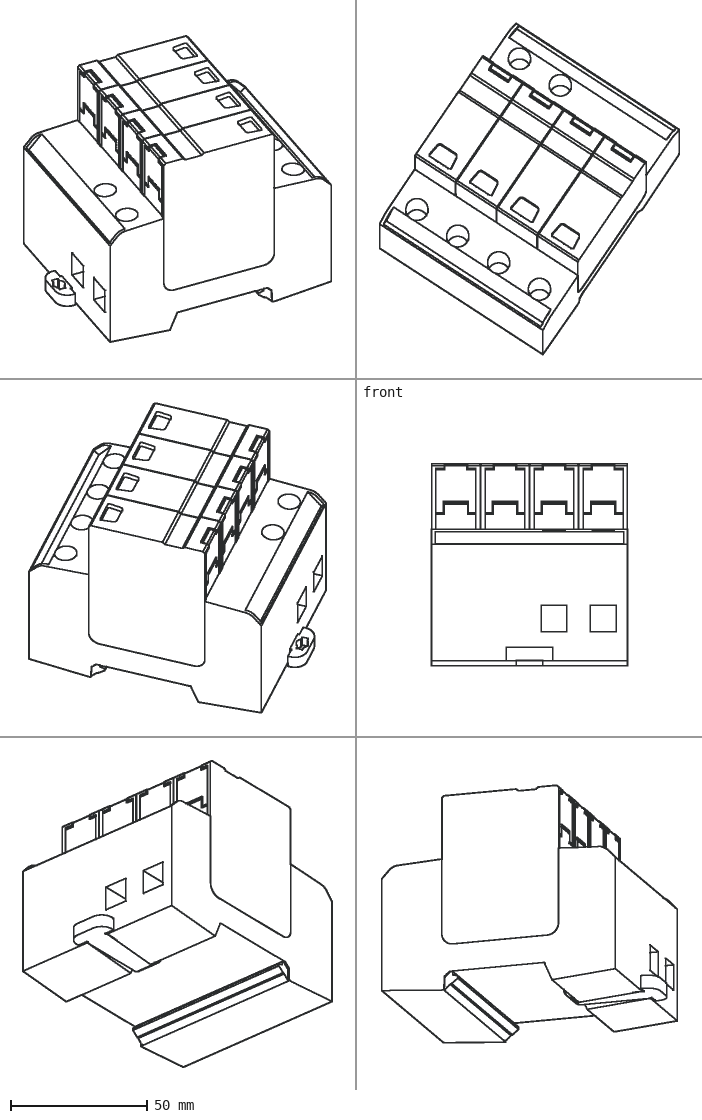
import cadquery as cq


width = 72.0
base_depth = 90.5
height = 74.3
poles = 4
pitch = width / poles
pole_centres = [(i - (poles - 1) / 2) * pitch for i in range(poles)]
output_centres = pole_centres[2:]

shoulder_height = 50.1
bevel_bottom = 44.6
bevel_run = 4.3
bevel_top = 49.2
bevel_round = 4.8
outer_bottom = 1.9
channel_top = 6.9
front_foot_back = 24.5
channel_front = 27.5
channel_back = 64.1
channel_bend = (66.1, 5.1)
back_foot_front = 66.4
back_foot_back = 67.3

module_front = 22.0
module_back = 67.2
module_bottom = 17.3
module_round = 4.4
side_clearance = 0.1
edge_bevel = 0.8
dip_depth = 0.8
dip_front = 29.9
dip_back = 38.5
dip_slope = 1.0
seam_width = 0.3
seam_depth = 1.0

panel_width = 14.6
panel_inset = 0.2
recess_depth = 0.6
panel_gap = 0.5
panel_shoulder = 72.5
tab_width = 8.0
tab_side_gap = 0.3
tab_back = 24.6
tab_back_gap = 0.7
lower_panel_top = 55.8
lower_tab_width = 8.7
lower_tab_top = 59.9
lower_tab_bevel = 0.6

pocket_front = 58.3
pocket_back = 64.4
pocket_front_width = 8.1
pocket_back_width = 9.7
pocket_front_round = 1.2
pocket_back_round = 0.6
pocket_depth = 1.9

screw_diameter = 8.1
screw_offset = 11.2
screw_floor = 30.1
wire_width = 9.5
wire_bottom = 12.5
wire_height = 9.7
wire_depth = 19.4

label_end_wall = 1.4
label_reach = 11.6
front_seat_corner = (1.5, 43.8)
front_seat_angle = 46
back_seat_corner = (2.5, 43.6)
back_seat_angle = 50

latch_bottom = outer_bottom
latch_width = 17.0
latch_back = -0.7
latch_front = -6.5
latch_round = 4.8
slider_width = 8.7
slider_overlap = 1.0
slot_width = 9.6
hook_root = 25.2
hook_tip = 30.3
hook_top = 6.1
hook_top_end = 29.5
hook_tip_bottom = 4.6
hook_tip_top = 5.3
hook_belly = (29.0, 2.8)
latch_hole_diameter = 4.6
latch_hole_y = -3.3
latch_slot_length = 6.6
latch_slot_width = 2.4
latch_hole_depth = 3.9

rear_tip = 61.2
rear_neck = 63.1
hook_overlap = 0.5
hook_end_gap = 0.7


def box(x_size, y_range, z_range, x_centre=0.0):
    """Box centred across X at x_centre, spanning the given Y and Z ranges."""
    y0, y1 = y_range
    z0, z1 = z_range
    return (
        cq.Workplane("XY")
        .box(x_size, y1 - y0, z1 - z0, centered=(True, False, False))
        .translate((x_centre, y0, z0))
    )


def extrude_across(sketch, length):
    """Extrude a YZ outline evenly to both sides of X = 0."""
    return sketch.extrude(length / 2, both=True)


def make_base():
    outline = cq.Workplane("YZ").polyline([
        (0, outer_bottom),
        (front_foot_back, 0),
        (channel_front, channel_top),
        (channel_back, channel_top),
        channel_bend,
        (back_foot_front, 0),
        (back_foot_back, 0),
        (base_depth, outer_bottom),
        (base_depth, bevel_bottom),
        (base_depth - bevel_run, bevel_top),
        (module_back, shoulder_height),
        (module_front, shoulder_height),
        (bevel_run, bevel_top),
        (0, bevel_bottom),
    ]).close()
    base = extrude_across(outline, width)
    for y in (bevel_run, base_depth - bevel_run):
        crease = cq.selectors.NearestToPointSelector((0, y, bevel_top))
        base = base.edges(crease).fillet(bevel_round)
    return base


def label_seat(corner, angle):
    """Square-cornered cutter at the front bevel; its inner corner lies at the given point."""
    return (
        box(width - 2 * label_end_wall, (0, label_reach), (0, label_reach))
        .rotate((0, 0, 0), (1, 0, 0), angle)
        .translate((0, *corner))
    )


def front_to_back(shape):
    """Mirror a front feature onto the back of the base."""
    return shape.mirror("XZ").translate((0, base_depth, 0))


def module_outline(inset=0.0):
    outline = cq.Workplane("YZ").polyline([
        (module_front, module_bottom),
        (module_front, height - edge_bevel),
        (module_front + edge_bevel, height),
        (dip_front, height),
        (dip_front + dip_slope, height - dip_depth),
        (dip_back - dip_slope, height - dip_depth),
        (dip_back, height),
        (module_back - edge_bevel, height),
        (module_back, height - edge_bevel),
        (module_back, module_bottom),
    ]).close()
    if inset:
        outline = outline.offset2D(-inset)
    return outline


def module_layer(outer_inset, inner_inset, length):
    """Layer of the module skin between two depths below its surface."""
    outer = extrude_across(module_outline(outer_inset), length)
    return outer.cut(extrude_across(module_outline(inner_inset), length))


def module_block(length):
    block = extrude_across(module_outline(), length)
    return block.edges("|X and <Z").fillet(module_round)


def make_modules():
    block = module_block(width - 2 * side_clearance)
    skin = module_layer(0, seam_depth, width)
    above_base = (shoulder_height, height)
    for i in range(1, poles):
        seam = box(seam_width, (module_front, module_back), above_base, -width / 2 + i * pitch)
        block = block.cut(skin.intersect(seam))
    return block


def panel_recess():
    """Opening for the panels of one module, with a notch over the top edge for the tab."""
    front = (module_front, module_front + recess_depth)
    opening = box(panel_width, front, (shoulder_height, panel_shoulder))
    notch_width = tab_width + 2 * tab_side_gap
    notch = box(notch_width, (module_front, tab_back + tab_back_gap), (lower_tab_top, height))
    return module_layer(0, recess_depth, pitch).intersect(opening.union(notch))


def panels():
    """Upper panel with its folded tab and the lower panel interlocking beneath it."""
    front = (module_front, module_front + recess_depth)
    upper_top = panel_shoulder - panel_gap
    upper = box(panel_width, front, (lower_panel_top + panel_gap, upper_top))
    upper = upper.union(box(tab_width, (module_front, tab_back), (lower_tab_top + panel_gap, height)))
    lower_opening_width = lower_tab_width + panel_gap
    upper = upper.cut(box(lower_opening_width, front, (shoulder_height, lower_tab_top + panel_gap)))

    lower = box(panel_width, front, (shoulder_height, lower_panel_top))
    face = module_front + panel_inset
    back = module_front + recess_depth
    lower_tab = extrude_across(cq.Workplane("YZ").polyline([
        (face, shoulder_height),
        (face, lower_tab_top - lower_tab_bevel),
        (back, lower_tab_top),
        (back, shoulder_height),
    ]).close(), lower_tab_width)
    layer = module_layer(panel_inset, recess_depth, pitch)
    return layer.intersect(upper.union(lower).union(lower_tab))


def finger_pocket():
    pocket = (
        cq.Workplane("XY", origin=(0, 0, height - pocket_depth))
        .polyline([
            (-pocket_front_width / 2, pocket_front),
            (pocket_front_width / 2, pocket_front),
            (pocket_back_width / 2, pocket_back),
            (-pocket_back_width / 2, pocket_back),
        ])
        .close()
        .extrude(pocket_depth)
    )
    pocket = pocket.edges("|Z and <Y").fillet(pocket_front_round)
    return pocket.edges("|Z and >Y").fillet(pocket_back_round)


def screw_hole():
    return (
        cq.Workplane("XY", origin=(0, screw_offset, screw_floor))
        .circle(screw_diameter / 2)
        .extrude(height - screw_floor)
    )


def make_latch():
    """Sliding latch: shaped pull tab in front and the slider joining it to the base."""
    z_range = (latch_bottom, channel_top)
    pull = box(latch_width, (latch_front, latch_back), z_range)
    pull = pull.edges("|Z and <Y").fillet(latch_round)
    eye_top = cq.Workplane("XY", origin=(0, latch_hole_y, channel_top))
    eye = eye_top.circle(latch_hole_diameter / 2).extrude(-latch_hole_depth)
    slot = eye_top.rect(latch_slot_length, latch_slot_width).extrude(-latch_hole_depth)
    slider = box(slider_width, (latch_back, slider_overlap), z_range)
    return pull.cut(eye).cut(slot).union(slider)


def latch_hook():
    outline = (
        cq.Workplane("YZ")
        .moveTo(hook_root, latch_bottom)
        .lineTo(channel_front, latch_bottom)
        .threePointArc(hook_belly, (hook_tip, hook_tip_bottom))
        .lineTo(hook_tip, hook_tip_top)
        .lineTo(hook_top_end, hook_top)
        .lineTo(hook_root, hook_top)
        .close()
    )
    return extrude_across(outline, slot_width)


def rear_hook():
    """Fixed hook on the back foot; its last two points lie inside the base."""
    outline = cq.Workplane("YZ").polyline([
        (back_foot_front, 0),
        (rear_tip + 3.0, 2.1),
        (rear_tip + 2.4, 2.3),
        (rear_tip, 4.2),
        (rear_tip, 5.0),
        (rear_neck, 5.6),
        (rear_neck, channel_top),
        (channel_back, channel_top + hook_overlap),
        (back_foot_front + hook_overlap, channel_top),
    ]).close()
    return extrude_across(outline, width - 2 * hook_end_gap)


base = make_base()
base = base.cut(label_seat(front_seat_corner, front_seat_angle))
base = base.cut(front_to_back(label_seat(back_seat_corner, back_seat_angle)))
for x in output_centres:
    base = base.cut(screw_hole().translate((x, 0, 0)))
    wire_z = (wire_bottom, wire_bottom + wire_height)
    base = base.cut(box(wire_width, (0, wire_depth), wire_z, x))
for x in pole_centres:
    base = base.cut(front_to_back(screw_hole()).translate((x, 0, 0)))

base = base.cut(box(slot_width, (0, channel_front), (0, latch_bottom)))
base = base.union(make_latch()).union(latch_hook()).union(rear_hook())

modules = make_modules()
for x in pole_centres:
    modules = modules.cut(panel_recess().translate((x, 0, 0)))
    modules = modules.union(panels().translate((x, 0, 0)))
    modules = modules.cut(finger_pocket().translate((x, 0, 0)))

result = base.cut(module_block(width)).union(modules)